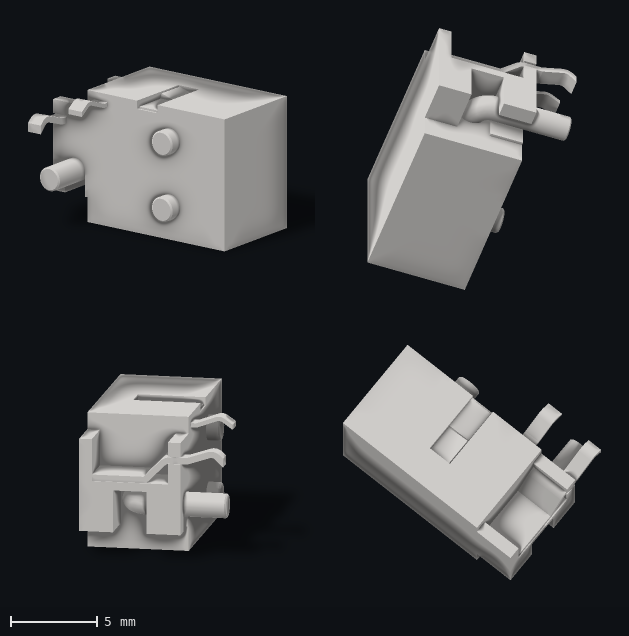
import cadquery as cq
import math

LENGTH = 12.5
DEPTH = 6.0
HEIGHT = 8.0
NOSE_LENGTH = 2.5
NOSE_BOTTOM = 1.5
NOSE_TOP = 7.0

TRAY_WALL = 0.75
TRAY_FLOOR = 4.5

PIN_X = 1.6
PIN_Z = 3.0
PIN_RADIUS = 0.72
PIN_LEG_Y = 3.21
CAVITY_FRONT = 2.0
CAVITY_REAR = 4.0
CAVITY_TOP = 4.0

LEAD_REACH = 2.5
EDGE_CHAMFER = 0.09

PEG_RADIUS = 0.75
PEG_LENGTH = 0.8
PEG_X = 8.5
PEG_HEIGHTS = (2.0, 6.0)

TAIL_BEND_Y = -0.35
TRAY_TAIL_WIDTH = 0.92
UPPER_TAIL_WIDTH = 1.0

TRAY_CONTACT_INSET = 0.08
TRAY_CONTACT_THICKNESS = 0.38
TRAY_CONTACT_TOP = 6.1
RAMP_ANGLE = 45.0
RAMP_FOOT_Y = 2.2
RAMP_RADIUS = 0.88
WALL_SLOT_HEIGHT = 0.44

UPPER_CONTACT_X = 3.0
UPPER_CONTACT_THICKNESS = 0.25
UPPER_CONTACT_TOP = 7.51

WINDOW_LEFT = 6.12
WINDOW_WIDTH = 1.5
WINDOW_REAR = 4.0
WINDOW_DEPTH = 0.5
LEAF_CLEARANCE = 0.08
FLAT_LEAF_THICKNESS = 0.12
FLAT_LEAF_FRONT = 0.11
FLAT_LEAF_REAR = 2.18
TILTED_LEAF_FRONT = 2.26
TILTED_LEAF_ANGLE = 16.5


def box(x_range, y_range, z_range):
    """Box between the given limits on each axis."""
    (x0, x1), (y0, y1), (z0, z1) = x_range, y_range, z_range
    return cq.Workplane("XY").box(x1 - x0, y1 - y0, z1 - z0, centered=False).translate((x0, y0, z0))


def front_cylinder(x, z, radius, y_front, y_rear):
    """Cylinder along Y from y_front to y_rear."""
    plane = cq.Plane(origin=(x, y_rear, z), xDir=(1, 0, 0), normal=(0, -1, 0))
    return cq.Workplane(plane).circle(radius).extrude(y_rear - y_front)


def on_circle(centre, radius, degrees):
    """Point (y, z) on a circle, at an angle from +Z measured towards +Y."""
    angle = math.radians(degrees)
    return (centre[0] + radius * math.sin(angle), centre[1] + radius * math.cos(angle))


def extrude_along_x(profile, x_start, x_end):
    """Extrude a closed profile drawn in the YZ plane between two X positions."""
    return profile.close().extrude(x_end - x_start).translate((x_start, 0, 0))


def contact_tail(x_start, width, root_y, top, thickness, rise, fall, crest_y, crest_radius):
    """Tail of constant thickness: level, rising, rounded over a crest, then falling to the tip."""
    rise_slope = math.tan(math.radians(rise))
    fall_slope = math.tan(math.radians(fall))
    inner_radius = crest_radius - thickness
    inner_bend_y = TAIL_BEND_Y - thickness * math.tan(math.radians(rise / 2))

    arc_start_y = crest_y + crest_radius * math.sin(math.radians(rise))
    arc_start_z = top + (TAIL_BEND_Y - arc_start_y) * rise_slope
    centre = (crest_y, arc_start_z - crest_radius * math.cos(math.radians(rise)))
    mid_angle = (rise - fall) / 2
    outer_end = on_circle(centre, crest_radius, -fall)
    inner_end = on_circle(centre, inner_radius, -fall)

    def tip(arc_end):
        return (-LEAD_REACH, arc_end[1] - (arc_end[0] + LEAD_REACH) * fall_slope)

    profile = (
        cq.Workplane("YZ")
        .moveTo(root_y, top)
        .lineTo(TAIL_BEND_Y, top)
        .lineTo(arc_start_y, arc_start_z)
        .threePointArc(on_circle(centre, crest_radius, mid_angle), outer_end)
        .lineTo(*tip(outer_end))
        .lineTo(*tip(inner_end))
        .lineTo(*inner_end)
        .threePointArc(on_circle(centre, inner_radius, mid_angle), on_circle(centre, inner_radius, rise))
        .lineTo(inner_bend_y, top - thickness)
        .lineTo(root_y, top - thickness)
    )
    return extrude_along_x(profile, x_start, x_start + width)


def housing():
    main_block = box((NOSE_LENGTH, LENGTH), (0, DEPTH), (0, HEIGHT))
    nose = box((0, NOSE_LENGTH), (0, DEPTH), (NOSE_BOTTOM, NOSE_TOP))
    tray = box((0, NOSE_LENGTH), (TRAY_WALL, DEPTH - TRAY_WALL), (TRAY_FLOOR, NOSE_TOP))
    cavity = box((0, NOSE_LENGTH), (CAVITY_FRONT, CAVITY_REAR), (NOSE_BOTTOM, CAVITY_TOP))

    channel = box((PIN_X - PIN_RADIUS, PIN_X + PIN_RADIUS), (0, CAVITY_FRONT), (NOSE_BOTTOM, PIN_Z))
    channel = channel.union(front_cylinder(PIN_X, PIN_Z, PIN_RADIUS, 0, CAVITY_FRONT))

    slot_bottom = TRAY_CONTACT_TOP - TRAY_CONTACT_THICKNESS
    wall_slot = box(
        (0, TRAY_CONTACT_INSET + TRAY_TAIL_WIDTH),
        (0, TRAY_WALL),
        (slot_bottom, slot_bottom + WALL_SLOT_HEIGHT),
    )

    window = box(
        (WINDOW_LEFT, WINDOW_LEFT + WINDOW_WIDTH),
        (0, WINDOW_REAR),
        (HEIGHT - WINDOW_DEPTH, HEIGHT),
    )
    return main_block.union(nose).cut(tray).cut(cavity).cut(channel).cut(wall_slot).cut(window)


def centre_pin():
    bend_radius = PIN_LEG_Y - CAVITY_FRONT
    lead = front_cylinder(PIN_X, PIN_Z, PIN_RADIUS, -LEAD_REACH, CAVITY_FRONT)
    lead = lead.faces("<Y").chamfer(EDGE_CHAMFER)
    bend = (
        cq.Workplane("XZ", origin=(PIN_X, CAVITY_FRONT, PIN_Z))
        .circle(PIN_RADIUS)
        .revolve(90, (bend_radius, 0), (bend_radius, -1))
    )
    return lead.union(bend)


def peg(z):
    return front_cylinder(PEG_X, z, PEG_RADIUS, -PEG_LENGTH, 0).faces("<Y").chamfer(EDGE_CHAMFER)


def tray_contact():
    thickness = TRAY_CONTACT_THICKNESS
    plate_top = TRAY_FLOOR + thickness
    rise = TRAY_CONTACT_TOP - plate_top
    half_ramp_slope = math.tan(math.radians(RAMP_ANGLE / 2))

    ramp_head_y = RAMP_FOOT_Y - rise / math.tan(math.radians(RAMP_ANGLE))
    centre = (ramp_head_y - RAMP_RADIUS * half_ramp_slope, TRAY_CONTACT_TOP - RAMP_RADIUS)
    inner_radius = RAMP_RADIUS - thickness

    profile = (
        cq.Workplane("YZ")
        .moveTo(DEPTH - TRAY_WALL, plate_top)
        .lineTo(RAMP_FOOT_Y, plate_top)
        .lineTo(*on_circle(centre, RAMP_RADIUS, RAMP_ANGLE))
        .threePointArc(
            on_circle(centre, RAMP_RADIUS, RAMP_ANGLE / 2),
            on_circle(centre, RAMP_RADIUS, 0),
        )
        .lineTo(*on_circle(centre, inner_radius, 0))
        .threePointArc(
            on_circle(centre, inner_radius, RAMP_ANGLE / 2),
            on_circle(centre, inner_radius, RAMP_ANGLE),
        )
        .lineTo(RAMP_FOOT_Y - thickness * half_ramp_slope, TRAY_FLOOR)
        .lineTo(DEPTH - TRAY_WALL, TRAY_FLOOR)
    )
    plate = extrude_along_x(profile, TRAY_CONTACT_INSET, NOSE_LENGTH)
    surplus = box(
        (TRAY_CONTACT_INSET + TRAY_TAIL_WIDTH, NOSE_LENGTH),
        (0, TRAY_WALL),
        (TRAY_FLOOR, NOSE_TOP),
    )
    tail = contact_tail(
        TRAY_CONTACT_INSET,
        width=TRAY_TAIL_WIDTH,
        root_y=centre[0],
        top=TRAY_CONTACT_TOP,
        thickness=thickness,
        rise=18.5,
        fall=45.0,
        crest_y=-1.81,
        crest_radius=0.71,
    )
    return plate.cut(surplus).union(tail)


def upper_contact():
    return contact_tail(
        UPPER_CONTACT_X,
        width=UPPER_TAIL_WIDTH,
        root_y=0,
        top=UPPER_CONTACT_TOP,
        thickness=UPPER_CONTACT_THICKNESS,
        rise=20.0,
        fall=35.0,
        crest_y=-1.69,
        crest_radius=0.6,
    )


def switch_leaves():
    floor = HEIGHT - WINDOW_DEPTH
    right = WINDOW_LEFT + WINDOW_WIDTH
    tip_x = WINDOW_LEFT + LEAF_CLEARANCE
    flat = box(
        (tip_x, right),
        (FLAT_LEAF_FRONT, FLAT_LEAF_REAR),
        (floor, floor + FLAT_LEAF_THICKNESS),
    )

    slope = math.tan(math.radians(TILTED_LEAF_ANGLE))
    tip_z = floor + (right - tip_x) * slope
    tilted = (
        cq.Workplane("XZ", origin=(0, WINDOW_REAR, 0))
        .polyline(
            [
                (right, floor),
                (tip_x, tip_z),
                (WINDOW_LEFT, tip_z - LEAF_CLEARANCE / slope),
                (WINDOW_LEFT, floor),
            ]
        )
        .close()
        .extrude(WINDOW_REAR - TILTED_LEAF_FRONT)
    )
    return flat.union(tilted)


result = housing().union(centre_pin()).union(tray_contact()).union(upper_contact()).union(switch_leaves())
for peg_z in PEG_HEIGHTS:
    result = result.union(peg(peg_z))